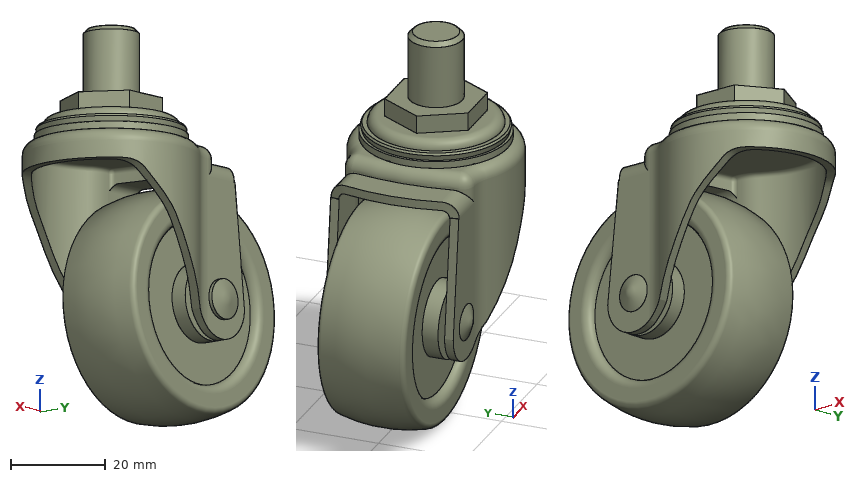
import cadquery as cq
import math


wheel_offset = 19.0
wheel_radius = 25.0
wheel_half_width = 10.0
crown_drop = 1.15
shoulder_width = 1.15
shoulder_height = 1.5
web_recess_radius = 19.5
web_rim_round = 2.05
hub_radius = 8.5
hub_half_width = 11.6

axle_radius = 3.1
flat_head_radius = 4.35
flat_head_thickness = 0.8
flat_head_cone = 1.1
cone_head_radius = 4.0
cone_head_height = 1.55

sheet = 2.0
leg_half_width = 14.6
skirt_radius = 18.9
side_blend_radius = 7.4
dome_top = 32.6
dome_fillet = 2.95
dome_corner = 2.95
step_front = 18.6
step_arc_radius = 61.5
ledge_top = 29.5
ledge_front = 25.4
ledge_arc_radius = 47.6
bend_radius = 3.7
skirt_bottom = 25.9
leg_front_top = 23.4
foot_radius = 7.5
foot_drop = 1.1
race_radius = 16.3
race_top = 34.2

flange_radius = 16.0
flange_bevel = 0.3
flange_edge = 35.4
flange_top = 35.9
cap_radius = 14.6
cap_flat_radius = 12.3
cap_top = 38.0
hex_across_flats = 19.0
hex_height = 4.0
stud_radius = 6.0
stud_top = 57.0
stud_chamfer = 1.0

bend_line = ledge_top - bend_radius
clearance = 8.2
quarter_mid = math.sqrt(0.5)


def cylinder_along_y(radius, y_from, y_to):
    """Cylinder on the wheel axis between two Y positions."""
    return (
        cq.Workplane("XZ", origin=(-wheel_offset, y_from, 0))
        .circle(radius)
        .extrude(y_from - y_to)
    )


def revolved_on_axle(half_section):
    """Turn a closed wire drawn in (radius, width) coordinates around the wheel axis."""
    turned = half_section.revolve(360, (0, 0, 0), (0, 1, 0))
    return turned.translate((-wheel_offset, 0, 0))


def make_wheel():
    shoulder_radius = wheel_radius - crown_drop
    shoulder_y = wheel_half_width - shoulder_width
    face_radius = shoulder_radius - shoulder_height
    web_y = wheel_half_width - web_rim_round
    web_radius = web_recess_radius - web_rim_round
    shoulder_mid = (
        face_radius + shoulder_height * quarter_mid,
        shoulder_y + shoulder_width * quarter_mid,
    )
    rim_mid = (
        web_recess_radius - web_rim_round * quarter_mid,
        web_y + web_rim_round * quarter_mid,
    )

    section = (
        cq.Workplane("XY")
        .moveTo(axle_radius, -hub_half_width)
        .lineTo(hub_radius, -hub_half_width)
        .lineTo(hub_radius, -web_y)
        .lineTo(web_radius, -web_y)
        .threePointArc((rim_mid[0], -rim_mid[1]), (web_recess_radius, -wheel_half_width))
        .lineTo(face_radius, -wheel_half_width)
        .threePointArc((shoulder_mid[0], -shoulder_mid[1]), (shoulder_radius, -shoulder_y))
        .threePointArc((wheel_radius, 0), (shoulder_radius, shoulder_y))
        .threePointArc(shoulder_mid, (face_radius, wheel_half_width))
        .lineTo(web_recess_radius, wheel_half_width)
        .threePointArc(rim_mid, (web_radius, web_y))
        .lineTo(hub_radius, web_y)
        .lineTo(hub_radius, hub_half_width)
        .lineTo(axle_radius, hub_half_width)
        .close()
    )
    return revolved_on_axle(section)


def make_axle():
    flat_head_face = leg_half_width + flat_head_thickness
    section = (
        cq.Workplane("XY")
        .moveTo(0, -leg_half_width - cone_head_height)
        .lineTo(cone_head_radius, -leg_half_width)
        .lineTo(axle_radius, -leg_half_width)
        .lineTo(axle_radius, leg_half_width)
        .lineTo(flat_head_radius, leg_half_width)
        .lineTo(flat_head_radius, flat_head_face)
        .lineTo(0, flat_head_face + flat_head_cone)
        .close()
    )
    return revolved_on_axle(section)


def sagitta(radius, half_chord):
    """Height of an arc above its chord."""
    return radius - math.sqrt(radius**2 - half_chord**2)


blend_y = leg_half_width + side_blend_radius
blend_x = -math.sqrt((skirt_radius + side_blend_radius) ** 2 - blend_y**2)


def dome_block(inset, bottom):
    """Round skirt with its dome, every face moved inward by `inset`."""
    half = leg_half_width - inset
    radius = skirt_radius - inset
    blend = side_blend_radius + inset
    front = step_front - inset
    front_side = front - sagitta(step_arc_radius, half)
    reach = math.hypot(blend_x, blend_y)
    tangent = (blend_x * radius / reach, blend_y * radius / reach)
    mid_angle = (math.atan2(-blend_y, -blend_x) - math.pi / 2) / 2
    blend_mid = (blend_x + blend * math.cos(mid_angle), blend_y + blend * math.sin(mid_angle))

    block = (
        cq.Workplane("XY", origin=(0, 0, bottom))
        .moveTo(-front_side, half)
        .lineTo(blend_x, half)
        .threePointArc(blend_mid, tangent)
        .threePointArc((radius, 0), (tangent[0], -tangent[1]))
        .threePointArc((blend_mid[0], -blend_mid[1]), (blend_x, -half))
        .lineTo(-front_side, -half)
        .threePointArc((-front, 0), (-front_side, half))
        .close()
        .extrude(dome_top - inset - bottom)
    )
    corners = cq.selectors.BoxSelector(
        (-front_side - 0.8, -half - 0.8, bottom - 0.8),
        (-front_side + 0.8, half + 0.8, dome_top + 0.8),
    )
    block = block.edges("|Z").edges(corners).fillet(dome_corner - inset)
    return block.faces(">Z").edges().fillet(dome_fillet - inset)


def ledge_block(inset, bottom, front):
    """Folded ledge and both legs as one block, its sides and top moved inward by `inset`."""
    length = blend_x + front
    return (
        cq.Workplane("XY", origin=(blend_x - length / 2, 0, bottom))
        .rect(length, 2 * (leg_half_width - inset))
        .extrude(ledge_top - inset - bottom)
        .faces(">Z")
        .edges("|X")
        .fillet(bend_radius - inset)
    )


def ledge_trim():
    """Space in front of the ledge's bowed front edge, from the end of the bend upward."""
    half = leg_half_width + 0.8
    front_side = ledge_front - sagitta(ledge_arc_radius, half)
    outer = ledge_front + clearance
    return (
        cq.Workplane("XY", origin=(0, 0, bend_line))
        .moveTo(-outer, half)
        .lineTo(-front_side, half)
        .threePointArc((-ledge_front, 0), (-front_side, -half))
        .lineTo(-outer, -half)
        .close()
        .extrude(clearance)
    )


def side_outline():
    """Side shape of the fork: foot, sloping rear edge, skirt and leg front."""
    foot_z = -foot_drop
    foot_left = (-wheel_offset - foot_radius, foot_z)
    foot_bottom = (-wheel_offset, foot_z - foot_radius)
    foot_end_x = blend_x
    foot_end_z = foot_z - math.sqrt(foot_radius**2 - (foot_end_x + wheel_offset) ** 2)
    outer = ledge_front + clearance
    top = race_top + clearance
    return (
        cq.Workplane("XZ")
        .moveTo(-leg_front_top, bend_line)
        .lineTo(*foot_left)
        .threePointArc(foot_bottom, (foot_end_x, foot_end_z))
        .lineTo(-10.4, -3.4)
        .lineTo(-3.1, 7.6)
        .spline([(2.5, 16.5), (7.8, 22.55), (13.3, skirt_bottom)],
                tangents=[(2, 3), (1, 0)], includeCurrent=True)
        .lineTo(outer, skirt_bottom)
        .lineTo(outer, top)
        .lineTo(-outer, top)
        .lineTo(-outer, bend_line)
        .close()
        .extrude(skirt_radius + clearance, both=True)
    )


def make_fork():
    bottom = -foot_drop - foot_radius - clearance
    shell = dome_block(0, bottom).union(ledge_block(0, bottom, ledge_front + clearance))
    cavity_bottom = bottom - clearance
    cavity = dome_block(sheet, cavity_bottom).union(
        ledge_block(sheet, cavity_bottom, ledge_front + 2 * clearance)
    )
    race = (
        cq.Workplane("XY", origin=(0, 0, dome_top))
        .circle(race_radius)
        .extrude(race_top - dome_top)
    )
    axle_hole = cylinder_along_y(axle_radius, -skirt_radius, skirt_radius)
    bent_sheet = shell.cut(cavity).cut(ledge_trim()).intersect(side_outline())
    return bent_sheet.union(race).cut(axle_hole)


def make_stem():
    cap_round_mid = (
        cap_flat_radius + (cap_radius - cap_flat_radius) * quarter_mid,
        flange_top + (cap_top - flange_top) * quarter_mid,
    )
    cap = (
        cq.Workplane("XZ")
        .moveTo(0, race_top)
        .lineTo(flange_radius - flange_bevel, race_top)
        .lineTo(flange_radius, flange_edge)
        .lineTo(flange_radius - flange_bevel, flange_top)
        .lineTo(cap_radius, flange_top)
        .threePointArc(cap_round_mid, (cap_flat_radius, cap_top))
        .lineTo(0, cap_top)
        .close()
        .revolve(360, (0, 0, 0), (0, 1, 0))
    )
    hex_nut = (
        cq.Workplane("XY", origin=(0, 0, cap_top))
        .polygon(6, hex_across_flats, circumscribed=True)
        .extrude(hex_height)
        .rotate((0, 0, 0), (0, 0, 1), 30)
    )
    hex_top = cap_top + hex_height
    stud = (
        cq.Workplane("XY", origin=(0, 0, hex_top))
        .circle(stud_radius)
        .extrude(stud_top - hex_top)
        .faces(">Z")
        .chamfer(stud_chamfer)
    )
    return cap.union(hex_nut).union(stud)


wheel = make_wheel()
axle = make_axle()
fork = make_fork()
stem = make_stem()

result = cq.Compound.makeCompound([fork.val(), wheel.val(), axle.val(), stem.val()])